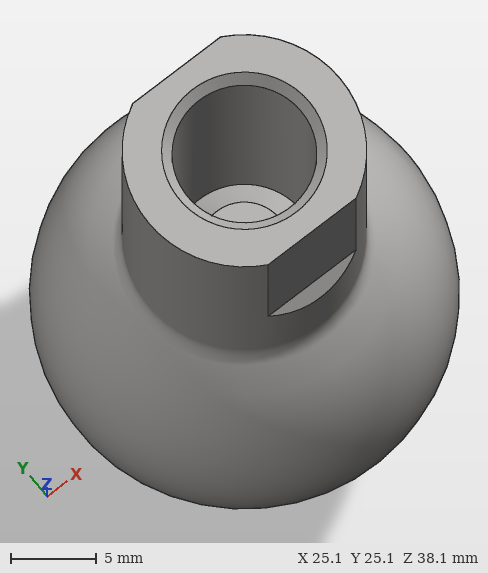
import cadquery as cq
import math

total_height = 38.1
ball_radius = 12.57
base_radius = 5.35
neck_diameter = 14.3
neck_fillet_radius = 1.6
flat_spacing = 12.7
flat_length = 9.6
flat_end_angle = 45.0
cutter_clearance = 0.4
hole_radius = 4.23
hole_mouth_radius = 4.85
hole_depth = 19.05
plug_top_radius = 2.6
plug_slope = 45.0

neck_radius = neck_diameter / 2

ball_center_z = math.sqrt(ball_radius**2 - base_radius**2)

fillet_center_r = neck_radius + neck_fillet_radius
center_distance = ball_radius + neck_fillet_radius
fillet_center_z = ball_center_z + math.sqrt(center_distance**2 - fillet_center_r**2)
ball_share = ball_radius / center_distance
fillet_foot_r = fillet_center_r * ball_share
fillet_foot_z = ball_center_z + (fillet_center_z - ball_center_z) * ball_share
foot_angle = math.atan2(fillet_foot_z - fillet_center_z, fillet_foot_r - fillet_center_r)
fillet_mid_angle = (foot_angle - math.pi) / 2
fillet_mid_r = fillet_center_r + neck_fillet_radius * math.cos(fillet_mid_angle)
fillet_mid_z = fillet_center_z + neck_fillet_radius * math.sin(fillet_mid_angle)


def make_body():
    """Ball, blend and neck turned about Z."""
    return (
        cq.Workplane("XZ")
        .lineTo(base_radius, 0)
        .threePointArc((ball_radius, ball_center_z), (fillet_foot_r, fillet_foot_z))
        .threePointArc((fillet_mid_r, fillet_mid_z), (neck_radius, fillet_center_z))
        .lineTo(neck_radius, total_height)
        .lineTo(0, total_height)
        .close()
        .revolve(360, (0, 0, 0), (0, 1, 0))
    )


def make_hole():
    """Blind hole with a 45 degree countersink, its floor raised as a truncated cone."""
    countersink = hole_mouth_radius - hole_radius
    floor_z = total_height - hole_depth
    plug_height = (hole_radius - plug_top_radius) * math.tan(math.radians(plug_slope))
    return (
        cq.Workplane("XZ")
        .moveTo(0, floor_z + plug_height)
        .lineTo(plug_top_radius, floor_z + plug_height)
        .lineTo(hole_radius, floor_z)
        .lineTo(hole_radius, total_height - countersink)
        .lineTo(hole_mouth_radius, total_height)
        .lineTo(0, total_height)
        .close()
        .revolve(360, (0, 0, 0), (0, 1, 0))
    )


def make_flat_cutter():
    """Material removed on the +Y side: a wrench flat with a sloped lower end."""
    inner_y = flat_spacing / 2
    outer_y = neck_radius + cutter_clearance
    flat_end_z = total_height - flat_length
    run_out = (outer_y - inner_y) * math.tan(math.radians(flat_end_angle))
    return (
        cq.Workplane("YZ")
        .moveTo(inner_y, total_height)
        .lineTo(inner_y, flat_end_z)
        .lineTo(outer_y, flat_end_z - run_out)
        .lineTo(outer_y, total_height)
        .close()
        .extrude(neck_radius, both=True)
    )


flat_cutter = make_flat_cutter()
result = make_body().cut(make_hole()).cut(flat_cutter).cut(flat_cutter.mirror("XZ"))